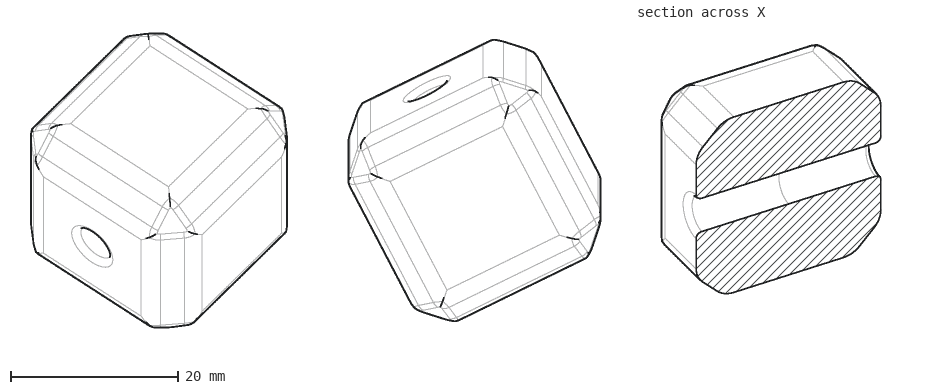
import cadquery as cq
from math import sqrt

side = 25.4
edge_chamfer = 3.85
blend_radius = 3.18
corner_blend_radius = 1.42
hole_diameter = 4.75
hole_mouth_radius = 0.8

half = side / 2
corner_facet_distance = (3 * half - 2 * edge_chamfer) / sqrt(3)


def rounded_octagon_prism(plane, axis):
    """Square prism along an axis, its long edges chamfered and both rims of each chamfer blended."""
    square = cq.Workplane(plane).rect(side, side).extrude(half, both=True)
    long_edges = f"|{axis}"
    return square.edges(long_edges).chamfer(edge_chamfer).edges(long_edges).fillet(blend_radius)


def corner_cutter(direction):
    """Block whose inner face is the flat facet across one cube corner."""
    facet = cq.Plane(origin=direction.normalized() * corner_facet_distance, normal=direction)
    return cq.Workplane(facet).rect(side, side).extrude(side)


def through_hole():
    """Cylinder along Y that passes right through the cube."""
    return cq.Workplane("XZ").circle(hole_diameter / 2).extrude(half, both=True)


body = rounded_octagon_prism("XY", "Z")
for plane, axis in (("XZ", "Y"), ("YZ", "X")):
    body = body.intersect(rounded_octagon_prism(plane, axis))

for x in (-1, 1):
    for y in (-1, 1):
        for z in (-1, 1):
            outward = cq.Vector(x, y, z)
            body = body.cut(corner_cutter(outward))
            facet = body.faces(cq.selectors.DirectionMinMaxSelector(outward, True))
            body = facet.edges().fillet(corner_blend_radius)

drilled = body.cut(through_hole())
result = drilled.faces("<Y or >Y").edges("%CIRCLE").fillet(hole_mouth_radius)